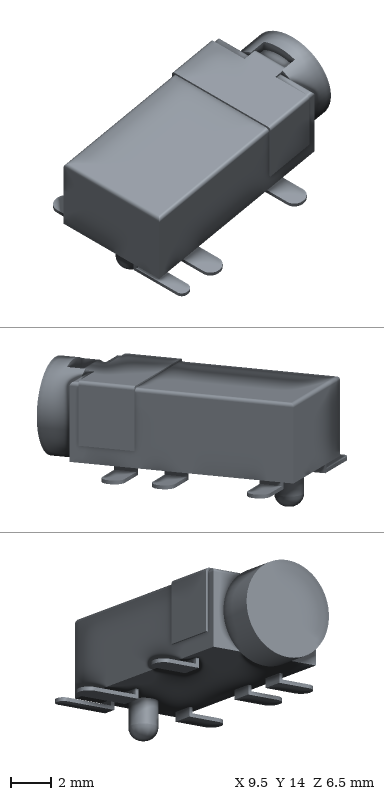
import cadquery as cq

body_width = 6.2
body_length = 12.0
body_bottom = 0.5
body_top = 4.59
edge_radius = 0.2

total_length = 14.0
collar_diameter = 5.0
collar_core_diameter = 4.0
collar_axis_z = collar_diameter / 2
notch_depth = 1.0

shell_thickness = 0.1
shell_top = 4.7
shell_front = 8.5
shell_back = 11.5
shell_bottom = 1.4
tab_width = 2.0
tab_overhang = 0.49
tab_bend_radius = 0.34

peg_diameter = 1.5
peg_y = 1.48
peg_bottom = -1.5
peg_tip_radius = 0.67

terminal_thickness = 0.2
terminal_width = 1.2
total_width = 9.5
terminal_reach = total_width / 2
terminal_tip_flat = 0.08
narrow_width = 0.8
narrow_reach = 4.55
outer_leg_x = 2.44
middle_leg_x = 1.55
inner_leg_x = 1.35
back_pair_y = 9.2
left_middle_y = 6.5
left_front_y = 1.4
right_middle_y = 2.7
right_front_y = 0.49

left = -1
right = 1


def box(x_min, x_max, y_min, y_max, z_min, z_max):
    """Block given by its limits along each axis."""
    return cq.Workplane("XY").box(
        x_max - x_min, y_max - y_min, z_max - z_min, centered=False
    ).translate((x_min, y_min, z_min))


def centered_box(width, y_min, y_max, z_min, z_max):
    """Block that is symmetric about the YZ plane."""
    return box(-width / 2, width / 2, y_min, y_max, z_min, z_max)


def rod_along_y(diameter, y_min, y_max):
    """Cylinder on the jack axis."""
    return (
        cq.Workplane("XZ", origin=(0, y_min, collar_axis_z))
        .circle(diameter / 2)
        .extrude(y_min - y_max)
    )


def make_body():
    block = centered_box(body_width, 0, body_length, body_bottom, body_top)
    return block.faces(">Z").edges().fillet(edge_radius)


def make_collar():
    """Collar with a notch for the shell tab, cut down to the round core."""
    collar = rod_along_y(collar_diameter, body_length, total_length)
    core = rod_along_y(collar_core_diameter, body_length, total_length)
    notch = centered_box(
        tab_width, body_length, body_length + notch_depth, collar_axis_z, collar_diameter
    )
    return collar.cut(notch.cut(core))


def make_shell():
    """Solid band around the housing; it merges with the housing inside it."""
    band = centered_box(
        body_width + 2 * shell_thickness, shell_front, shell_back, shell_bottom, shell_top
    )
    return band.edges("|Y and >Z").fillet(edge_radius)


def make_tab():
    """Tongue of the shell that bends down into the collar notch."""
    tongue = centered_box(
        tab_width, shell_front, body_length + tab_overhang, collar_axis_z, shell_top
    )
    return tongue.edges(">Y and >Z").fillet(tab_bend_radius)


def make_peg():
    return (
        cq.Workplane("XY", origin=(0, peg_y, peg_bottom))
        .circle(peg_diameter / 2)
        .extrude(body_bottom - peg_bottom)
        .faces("<Z").edges().fillet(peg_tip_radius)
    )


def make_terminal(side, y, leg_x, width=terminal_width, reach=terminal_reach):
    """Upright leg and flat foot with a rounded tip; side is left or right."""
    y_min = y - width / 2
    y_max = y + width / 2
    leg = box(leg_x, leg_x + terminal_thickness, y_min, y_max, 0, body_bottom)
    foot = box(leg_x, reach, y_min, y_max, 0, terminal_thickness)
    foot = foot.edges("|Z and >X").fillet((width - terminal_tip_flat) / 2)
    terminal = leg.union(foot)
    return terminal if side == right else terminal.mirror("YZ")


terminals = [
    make_terminal(left, back_pair_y, outer_leg_x),
    make_terminal(left, left_middle_y, outer_leg_x),
    make_terminal(left, left_front_y, outer_leg_x),
    make_terminal(right, back_pair_y, outer_leg_x),
    make_terminal(right, right_middle_y, middle_leg_x),
    make_terminal(right, right_front_y, inner_leg_x, narrow_width, narrow_reach),
]

result = make_body()
for piece in [make_collar(), make_shell(), make_tab(), make_peg(), *terminals]:
    result = result.union(piece)